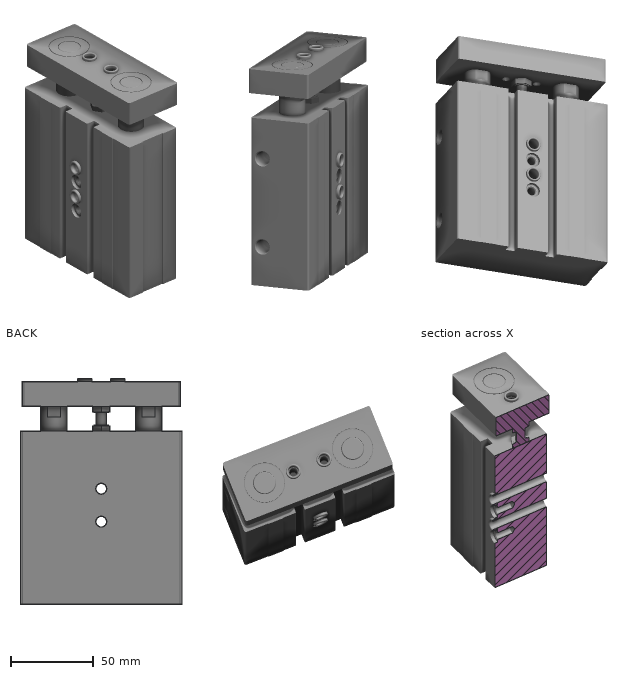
import cadquery as cq
import math


housing_width = 98.0
housing_depth = 38.0
housing_height = 105.0
housing_edge_radius = 1.2
stroke_gap = 15.0
plate_width = 96.1
plate_thickness = 15.0
plate_front = -18.1
plate_back = 21.0
plate_edge_radius = 1.2
front_face = -housing_depth / 2
plate_bottom = housing_height + stroke_gap
plate_top = plate_bottom + plate_thickness

slot_inner_x = 9.7
slot_outer_x = 15.9
slot_depth = 5.5
slot_lip_chamfer = 0.3
strip_inner_x = 23.8
strip_outer_x = 33.7
strip_height = 0.3

side_relief_width = 16.0
side_relief_depth = 0.5

port_diameter = 8.6
port_mouth_diameter = 9.7
port_depth = 13.0
port_y = 11.5
port_heights = (24.6, 80.0)

drill_point_angle = 118.0

ring_outer_diameter = 9.0
ring_bore_diameter = 6.5
ring_protrusion = 1.8
ring_seat_depth = 2.0
ring_length = ring_seat_depth + ring_protrusion

thread_diameter = 4.9
thread_mouth_diameter = 6.0
thread_depth = 11.0
mounting_pitch = 10.0
top_mounting_z = 70.1
ring_heights = [top_mounting_z - 2 * i * mounting_pitch for i in range(2)]
thread_heights = [z - mounting_pitch for z in ring_heights]
plate_ring_positions = (-mounting_pitch, mounting_pitch)

rod_x = 28.7
rod_positions = (-rod_x, rod_x)
rod_diameter = 16.0
rod_neck_diameter = 14.0
rod_flat_height = 6.5
rod_end_chamfer = 0.5
rod_foot_diameter = 32.0
rod_foot_bottom = 26.1
rod_foot_height = 27.4

groove_outer_diameter = 25.0
groove_inner_diameter = 24.0
groove_depth = 0.5

hex_across_flats = 10.5
hex_across_corners = hex_across_flats / math.cos(math.pi / 6)
hex_height = 3.3
collar_diameter = 9.0
collar_height = 0.4
piston_neck_diameter = 6.5


def upright_cylinder(x, bottom, diameter, height):
    return cq.Workplane("XY", origin=(x, 0, bottom)).circle(diameter / 2).extrude(height)


def axial_workplane(start, direction):
    """Workplane through an axis: local X is the radius, local Y the distance from start along direction."""
    radial = (0, 0, 1) if direction[2] == 0 else (1, 0, 0)
    normal = cq.Vector(*radial).cross(cq.Vector(*direction))
    return cq.Workplane(cq.Plane(origin=start, xDir=radial, normal=normal))


def drilled_hole(start, direction, mouth_diameter, diameter, depth):
    """Blind hole with a 45 degree chamfered mouth and a drill point."""
    radius = diameter / 2
    mouth_radius = mouth_diameter / 2
    point_depth = radius / math.tan(math.radians(drill_point_angle / 2))
    profile = [
        (0, 0),
        (mouth_radius, 0),
        (radius, mouth_radius - radius),
        (radius, depth),
        (0, depth + point_depth),
    ]
    return axial_workplane(start, direction).polyline(profile).close().revolve(360, (0, 0), (0, 1))


def make_guide_rod(x):
    foot = upright_cylinder(x, rod_foot_bottom, rod_foot_diameter, rod_foot_height)
    shaft = upright_cylinder(x, rod_foot_bottom, rod_diameter, plate_bottom - rod_foot_bottom)
    flat_zone = cq.Workplane("XY", origin=(x, 0, plate_bottom - rod_flat_height))
    outside_flats = (
        flat_zone.rect(2 * rod_diameter, 2 * rod_diameter)
        .rect(2 * rod_diameter, rod_neck_diameter)
        .extrude(rod_flat_height)
    )
    neck = upright_cylinder(x, plate_bottom, rod_neck_diameter, plate_thickness)
    neck = neck.faces(">Z").chamfer(rod_end_chamfer)
    return shaft.cut(outside_flats).union(foot).union(neck)


def make_ring(seat_floor, direction):
    """Centring ring standing on its seat floor, with a fully rounded outer end."""
    outer = ring_outer_diameter / 2
    bore = ring_bore_diameter / 2
    rounding = (outer - bore) / 2
    shoulder = ring_length - rounding
    profile = (
        axial_workplane(seat_floor, direction)
        .moveTo(bore, 0)
        .lineTo(outer, 0)
        .lineTo(outer, shoulder)
        .threePointArc((bore + rounding, ring_length), (bore, shoulder))
        .close()
    )
    return profile.revolve(360, (0, 0), (0, 1))


def front_hole(z, diameter, depth):
    return cq.Workplane("XZ", origin=(0, front_face, z)).circle(diameter / 2).extrude(-depth)


def make_extrusion():
    """Housing extrusion; each half of its front has a sensor slot and a slightly raised strip."""
    half_width = housing_width / 2
    low_face = front_face + strip_height
    slot_floor = front_face + slot_depth
    slot_inner_wall = slot_inner_x + slot_lip_chamfer
    slot_outer_wall = slot_outer_x - slot_lip_chamfer
    right_front = [
        (slot_inner_x, front_face),
        (slot_inner_wall, front_face + slot_lip_chamfer),
        (slot_inner_wall, slot_floor),
        (slot_outer_wall, slot_floor),
        (slot_outer_wall, low_face + slot_lip_chamfer),
        (slot_outer_x, low_face),
        (strip_inner_x, low_face),
        (strip_inner_x, front_face),
        (strip_outer_x, front_face),
        (strip_outer_x, low_face),
        (half_width, low_face),
    ]
    left_front = [(-x, y) for x, y in reversed(right_front)]
    back = [(half_width, housing_depth / 2), (-half_width, housing_depth / 2)]
    body = cq.Workplane("XY").polyline(right_front + back + left_front).close().extrude(housing_height)
    return body.faces("<X or >X").edges("|Z").fillet(housing_edge_radius)


def make_housing():
    body = make_extrusion()

    side_relief = cq.Workplane("XY").center(housing_width / 2, 0)
    body = body.cut(side_relief.rect(2 * side_relief_depth, side_relief_width).extrude(housing_height))

    for z in port_heights:
        mouth = (-housing_width / 2, port_y, z)
        body = body.cut(drilled_hole(mouth, (1, 0, 0), port_mouth_diameter, port_diameter, port_depth))

    for z in ring_heights:
        body = body.cut(front_hole(z, ring_outer_diameter, ring_seat_depth))
        body = body.cut(front_hole(z, ring_bore_diameter, housing_depth))
    for z in thread_heights:
        body = body.cut(front_hole(z, ring_outer_diameter, ring_seat_depth))
        floor = (0, front_face + ring_seat_depth, z)
        body = body.cut(drilled_hole(floor, (0, 1, 0), thread_mouth_diameter, thread_diameter, thread_depth))

    for rod in guide_rods:
        body = body.cut(rod)
    return body


def make_piston_rod():
    """Neck between two hexagons with facing collars; the hexagon corners point along Y."""
    rod = upright_cylinder(0, housing_height, piston_neck_diameter, stroke_gap)
    for hex_bottom, collar_bottom in (
        (housing_height, housing_height + hex_height),
        (plate_bottom - hex_height, plate_bottom - hex_height - collar_height),
    ):
        hexagon = cq.Workplane("XY", origin=(0, 0, hex_bottom)).transformed(rotate=(0, 0, 30))
        rod = rod.union(hexagon.polygon(6, hex_across_corners).extrude(hex_height))
        rod = rod.union(upright_cylinder(0, collar_bottom, collar_diameter, collar_height))
    return rod


def make_yoke():
    """End plate together with the piston rod that carries it."""
    plate_centre_y = (plate_front + plate_back) / 2
    plate = cq.Workplane("XY", origin=(0, plate_centre_y, plate_bottom))
    plate = plate.rect(plate_width, plate_back - plate_front).extrude(plate_thickness)
    plate = plate.edges("|Z").fillet(plate_edge_radius)

    for x in rod_positions:
        plate = plate.cut(upright_cylinder(x, plate_bottom, rod_neck_diameter, plate_thickness))
        groove = cq.Workplane("XY", origin=(x, 0, plate_top))
        groove = groove.circle(groove_outer_diameter / 2).circle(groove_inner_diameter / 2)
        plate = plate.cut(groove.extrude(-groove_depth))

    seat_floor_z = plate_top - ring_seat_depth
    for x in plate_ring_positions:
        plate = plate.cut(upright_cylinder(x, seat_floor_z, ring_outer_diameter, ring_seat_depth))
        plate = plate.cut(upright_cylinder(x, plate_bottom, thread_diameter, plate_thickness))
        mouth = cq.Workplane("XY", origin=(x, 0, seat_floor_z)).circle(thread_mouth_diameter / 2)
        mouth_depth = (thread_mouth_diameter - thread_diameter) / 2
        plate = plate.cut(mouth.extrude(-mouth_depth, taper=45))
    return plate.union(make_piston_rod())


guide_rods = [make_guide_rod(x) for x in rod_positions]
housing = make_housing()
yoke = make_yoke()
housing_rings = [make_ring((0, front_face + ring_seat_depth, z), (0, -1, 0)) for z in ring_heights]
plate_rings = [make_ring((x, 0, plate_top - ring_seat_depth), (0, 0, 1)) for x in plate_ring_positions]

bodies = [housing, yoke, *guide_rods, *housing_rings, *plate_rings]
result = cq.Compound.makeCompound([body.val() for body in bodies])